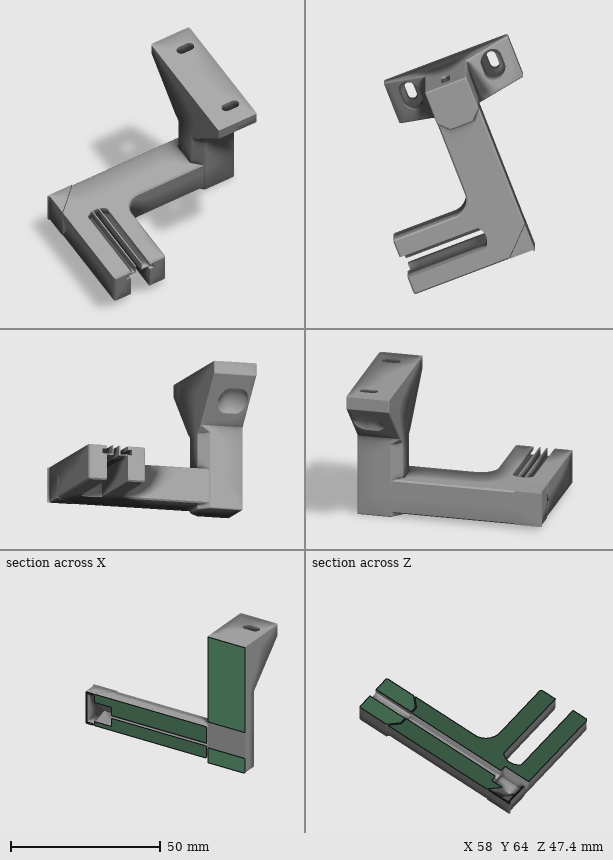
import cadquery as cq
import math

EDGE = 0.5

PLATE_WIDTH = 44.5
PLATE_EDGE_HEIGHT = 4.3
COLUMN_WIDTH = 14.95
BRACKET_DEPTH = COLUMN_WIDTH
BRACKET_HEIGHT = 47.4
CORNER_CUT = 3.45

SLOT_PITCH = 29.5
SLOT_WIDTH = 3.2
SLOT_LENGTH = 6.35
SLOT_CENTRE_Y = 9.0
HEAD_WIDTH = 7.15

SCREW_HOLE_FLATS = 3.2
SCREW_HEAD_FLATS = 7.0
SCREW_Z = -40.7
SCREW_TOP_Z = -33.0
HEAD_SEAT_Y = -38.4

ARM_TOP_Z = -33.9
ARM_HEIGHT = 11.95
ARM_LENGTH = 43.2
ARM_FRONT_Y = -48.5
FORK_WIDTH = 19.95
BEND_RADIUS = 6.0
FIT_GAP = 0.25

MOUTH_WIDTH = 7.4
GROOVE_RADIUS = 5.2
LIP_HEIGHT = 1.3
SLOT_END_X = 6.0
RAIL_GAP = 2.05
RAIL_THICKNESS = 0.4
RAIL_RISE = 0.25
RAIL_DEPTH = 2.95
RAIL_SETBACK = 1.2

CORNER_LEG = 8.95
SIDE_THICKNESS = 0.6
FRONT_THICKNESS = 0.5
COVER_THICKNESS = 0.7
SIDE_OVERHANG = 0.5

TOLERANCE = 0.0005
COLUMN_SIDE = COLUMN_WIDTH / 2
BOTTOM_Z = -BRACKET_HEIGHT
NECK_Z = -(PLATE_EDGE_HEIGHT + PLATE_WIDTH / 2 - COLUMN_SIDE)
CORNER_TOP_Z = NECK_Z - CORNER_CUT / math.sqrt(2)
ARM_BOTTOM_Z = ARM_TOP_Z - ARM_HEIGHT
ARM_END_X = ARM_LENGTH - COLUMN_SIDE
FORK_MID_Y = ARM_FRONT_Y + FORK_WIDTH / 2
RAIL_TOP_Z = ARM_TOP_Z + RAIL_RISE
FLANGE_TOP_Z = RAIL_TOP_Z - RAIL_DEPTH
GROOVE_FLOOR_Z = FLANGE_TOP_Z - RAIL_THICKNESS
GROOVE_CENTRE_X = SLOT_END_X + GROOVE_RADIUS
SIDE_INNER_X = -COLUMN_SIDE + SIDE_THICKNESS
FRONT_INNER_Y = ARM_FRONT_Y + FRONT_THICKNESS
CUT_LEG = CORNER_LEG + FIT_GAP * math.sqrt(2)


def prism(points, z_low, z_high):
    """Upright prism over an XY outline."""
    return cq.Workplane("XY").workplane(offset=z_low).polyline(points).close().extrude(z_high - z_low)


def box(x_range, y_range, z_range):
    """Block between two limits on each axis."""
    sizes = [high - low for low, high in (x_range, y_range, z_range)]
    corner = (x_range[0], y_range[0], z_range[0])
    return cq.Workplane("XY").box(*sizes, centered=False).translate(corner)


def hexagon_along_y(flats, z, y_low, y_high):
    """Hexagonal bar along Y with a corner that points to +X."""
    across_corners = flats / math.cos(math.pi / 6)
    bar = cq.Workplane("XZ").polygon(6, across_corners).extrude(y_low - y_high)
    return bar.translate((0, y_low, z))


def corner_cutter(side):
    """Wedge that takes one front corner off the column, with a 45-degree upper end."""
    reach = 4 * CORNER_CUT
    profile = [
        (0, CORNER_TOP_Z),
        (reach, CORNER_TOP_Z + reach),
        (reach, 2 * BOTTOM_Z),
        (0, 2 * BOTTOM_Z),
    ]
    across_cut = cq.Plane(
        origin=(side * (COLUMN_SIDE - CORNER_CUT), 0, 0), xDir=(side, -1, 0), normal=(-1, -side, 0)
    )
    return cq.Workplane(across_cut).polyline(profile).close().extrude(reach, both=True)


def plate_slot(x, width, z_low, z_high):
    """Upright slot along Y; the width sets the round ends and the straight part stays the same."""
    length = SLOT_LENGTH - SLOT_WIDTH + width
    slot = cq.Workplane("XY").workplane(offset=z_low).slot2D(length, width, 90).extrude(z_high - z_low)
    return slot.translate((x, SLOT_CENTRE_Y, 0))


def is_rounded(edge):
    """True for the bracket edges to round: all but the mounting face rim and the inner corners."""
    bounds = edge.BoundingBox()
    is_level = bounds.zlen < TOLERANCE
    at_sharp_level = any(abs(bounds.zmax - z) < TOLERANCE for z in (0, NECK_Z, CORNER_TOP_Z))
    return not (is_level and at_sharp_level)


def make_bracket():
    half = PLATE_WIDTH / 2
    right = [(half, 0), (half, -PLATE_EDGE_HEIGHT), (COLUMN_SIDE, NECK_Z), (COLUMN_SIDE, BOTTOM_Z)]
    left = [(-x, z) for x, z in reversed(right)]
    body = cq.Workplane("XZ").polyline(right + left).close().extrude(-BRACKET_DEPTH)
    for side in (-1, 1):
        body = body.cut(corner_cutter(side))
    body = body.newObject([edge for edge in body.edges().vals() if is_rounded(edge)]).fillet(EDGE)
    for x in (-SLOT_PITCH / 2, SLOT_PITCH / 2):
        body = body.cut(plate_slot(x, HEAD_WIDTH, BOTTOM_Z, -PLATE_EDGE_HEIGHT))
        body = body.cut(plate_slot(x, SLOT_WIDTH, BOTTOM_Z, 0))
    return body.cut(screw_slot())


def screw_slot():
    """Slot through the column for the clamp screw, with pointed ends."""
    half = SCREW_HOLE_FLATS / 2
    tip = half / math.cos(math.pi / 6)
    shoulder = tip / 2
    upper = [(-half, SCREW_TOP_Z + shoulder), (0, SCREW_TOP_Z + tip), (half, SCREW_TOP_Z + shoulder)]
    lower = [(half, SCREW_Z - shoulder), (0, SCREW_Z - tip), (-half, SCREW_Z - shoulder)]
    return cq.Workplane("XZ").polyline(upper + lower).close().extrude(-BRACKET_DEPTH)


def make_arm():
    left = -COLUMN_SIDE
    inner_x = COLUMN_SIDE
    fork_back_y = ARM_FRONT_Y + FORK_WIDTH
    outline = [
        (left, ARM_FRONT_Y),
        (ARM_END_X, ARM_FRONT_Y),
        (ARM_END_X, fork_back_y),
        (inner_x, fork_back_y),
        (inner_x, CORNER_CUT),
        (left, CORNER_CUT),
    ]
    body = prism(outline, ARM_BOTTOM_Z, ARM_TOP_Z)
    bend = cq.selectors.NearestToPointSelector((inner_x, fork_back_y, ARM_TOP_Z - ARM_HEIGHT / 2))
    body = body.edges(bend).fillet(BEND_RADIUS)
    body = body.cut(column_socket())
    body = body.faces("<Z or >Z or >X").edges("not(<Y and >Z)").chamfer(EDGE)
    body = body.cut(fork_slot()).cut(rail_groove())
    body = body.cut(prism(corner_outline(CUT_LEG), ARM_BOTTOM_Z, ARM_TOP_Z))
    head_pocket = hexagon_along_y(SCREW_HEAD_FLATS, SCREW_Z, ARM_FRONT_Y, HEAD_SEAT_Y)
    screw_hole = hexagon_along_y(SCREW_HOLE_FLATS, SCREW_Z, HEAD_SEAT_Y, 0)
    return body.cut(head_pocket).cut(screw_hole)


def column_socket():
    """Space around the column front that the arm end wraps."""
    front = -FIT_GAP
    half_front = COLUMN_SIDE - CORNER_CUT + FIT_GAP * math.tan(math.pi / 8)
    depth = 2 * CORNER_CUT
    outline = [
        (-half_front, front),
        (half_front, front),
        (half_front + depth, front + depth),
        (-half_front - depth, front + depth),
    ]
    return prism(outline, ARM_BOTTOM_Z, ARM_TOP_Z)


def round_ended(radius, z_low, z_high):
    """Channel along the fork, closed by a round end and open at the fork end."""
    base = cq.Workplane("XY").workplane(offset=z_low)
    end = base.center(GROOVE_CENTRE_X, FORK_MID_Y).circle(radius).extrude(z_high - z_low)
    straight = box(
        (GROOVE_CENTRE_X, GROOVE_CENTRE_X + ARM_LENGTH),
        (FORK_MID_Y - radius, FORK_MID_Y + radius),
        (z_low, z_high),
    )
    return end.union(straight)


def fork_slot():
    """Through slot between the prongs."""
    strip = box(
        (0, 2 * ARM_LENGTH),
        (FORK_MID_Y - MOUTH_WIDTH / 2, FORK_MID_Y + MOUTH_WIDTH / 2),
        (ARM_BOTTOM_Z, ARM_TOP_Z),
    )
    return round_ended(GROOVE_RADIUS, ARM_BOTTOM_Z, ARM_TOP_Z).intersect(strip)


def rail_groove():
    """Wider channel under the slot lips that holds the rail flanges."""
    return round_ended(GROOVE_RADIUS, GROOVE_FLOOR_Z, ARM_TOP_Z - LIP_HEIGHT)


def make_rail(side):
    """L-shaped rail: an upright wall at the slot gap and a flange that runs into the groove."""
    inner = RAIL_GAP / 2
    outer = inner + RAIL_THICKNESS
    profile = [
        (inner, RAIL_TOP_Z),
        (inner, GROOVE_FLOOR_Z),
        (GROOVE_RADIUS, GROOVE_FLOOR_Z),
        (GROOVE_RADIUS, FLANGE_TOP_Z),
        (outer, FLANGE_TOP_Z),
        (outer, RAIL_TOP_Z),
    ]
    points = [(FORK_MID_Y + side * y, z) for y, z in profile]
    bar = cq.Workplane("YZ").polyline(points).close().extrude(ARM_END_X - RAIL_SETBACK)
    return bar.intersect(round_ended(GROOVE_RADIUS, GROOVE_FLOOR_Z, RAIL_TOP_Z))


def corner_outline(leg):
    """Right triangle on the outer front corner of the arm."""
    left = -COLUMN_SIDE
    return [(left, ARM_FRONT_Y), (left + leg, ARM_FRONT_Y), (left, ARM_FRONT_Y + leg)]


def corner_part(x_range, y_range, z_range):
    """Part of the corner prism between two limits on each axis."""
    corner = prism(corner_outline(CORNER_LEG), ARM_BOTTOM_Z, ARM_TOP_Z)
    return corner.intersect(box(x_range, y_range, z_range))


def make_side_plate():
    """Plate on the outer side of the corner, reaching past the front plate."""
    x_range = (-COLUMN_SIDE, SIDE_INNER_X)
    z_range = (ARM_BOTTOM_Z, ARM_TOP_Z)
    sheet = corner_part(x_range, (ARM_FRONT_Y, ARM_FRONT_Y + CORNER_LEG), z_range)
    return sheet.union(box(x_range, (ARM_FRONT_Y - SIDE_OVERHANG, ARM_FRONT_Y), z_range))


def make_front_plate():
    """Plate on the front of the corner, beside the side plate."""
    return corner_part(
        (SIDE_INNER_X, ARM_END_X), (ARM_FRONT_Y, FRONT_INNER_Y), (ARM_BOTTOM_Z, ARM_TOP_Z)
    )


def make_corner_cover(z_low):
    """Triangular plate inside the side and front plates."""
    return corner_part(
        (SIDE_INNER_X, ARM_END_X),
        (FRONT_INNER_Y, ARM_FRONT_Y + CORNER_LEG),
        (z_low, z_low + COVER_THICKNESS),
    )


bracket = make_bracket()
arm = make_arm()
rails = [make_rail(side) for side in (-1, 1)]
side_plate = make_side_plate()
front_plate = make_front_plate()
corner_covers = [make_corner_cover(z_low) for z_low in (ARM_BOTTOM_Z, ARM_TOP_Z - COVER_THICKNESS)]

result = cq.Compound.makeCompound(
    [
        bracket.val(),
        arm.val(),
        *[rail.val() for rail in rails],
        side_plate.val(),
        front_plate.val(),
        *[cover.val() for cover in corner_covers],
    ]
)